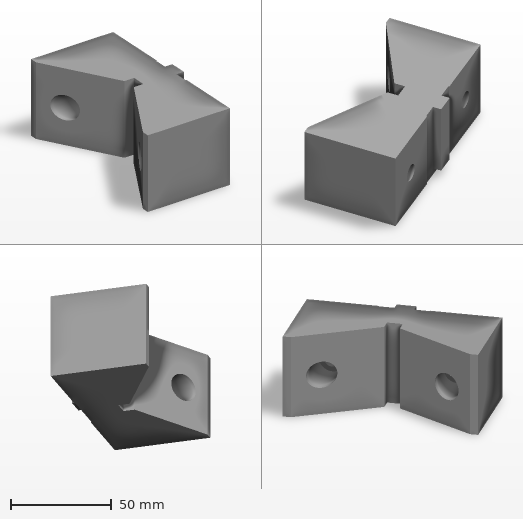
import cadquery as cq
import math

width = 100.0
body_depth = 50.0
height = 43.0

front_land = 4.2
vee_angle = math.radians(30)
slot_width = 8.0
slot_floor_y = 30.0

key_width = 10.0
key_height = 4.0
key_bottom_z = 4.0
recess_width = 26.0
recess_depth = 0.5

hole_offset = 32.0
hole_z = 21.0
hole_diameter = 9.0
counterbore_diameter = 14.0
seat_thickness = 20.0

half_width = width / 2
half_slot = slot_width / 2
vee_start = half_width - front_land
vee_end_y = (vee_start - half_slot) * math.tan(vee_angle)


def make_body():
    """Extrude the block outline, including the V and its root slot."""
    return (
        cq.Workplane("XY")
        .moveTo(-half_width, body_depth)
        .lineTo(-half_width, 0)
        .lineTo(-vee_start, 0)
        .lineTo(-half_slot, vee_end_y)
        .lineTo(-half_slot, slot_floor_y)
        .lineTo(half_slot, slot_floor_y)
        .lineTo(half_slot, vee_end_y)
        .lineTo(vee_start, 0)
        .lineTo(half_width, 0)
        .lineTo(half_width, body_depth)
        .close()
        .extrude(height)
    )


def make_box(box_width, y_start, y_end, z_start):
    """Box centred on X, reaching from z_start to the top of the block."""
    return cq.Workplane("XY").box(
        box_width, y_end - y_start, height - z_start, centered=(True, False, False)
    ).translate((0, y_start, z_start))


def make_bore(x, diameter, length):
    """Cylinder along +Y, starting at the front plane."""
    return cq.Workplane("XZ").center(x, hole_z).circle(diameter / 2).extrude(-length)


recess_floor_y = body_depth - recess_depth
recess = make_box(recess_width, recess_floor_y, body_depth, 0)
key = make_box(key_width, recess_floor_y, body_depth + key_height, key_bottom_z)

result = make_body().cut(recess).union(key)
for hole_x in (-hole_offset, hole_offset):
    result = result.cut(make_bore(hole_x, hole_diameter, body_depth))
    result = result.cut(make_bore(hole_x, counterbore_diameter, body_depth - seat_thickness))